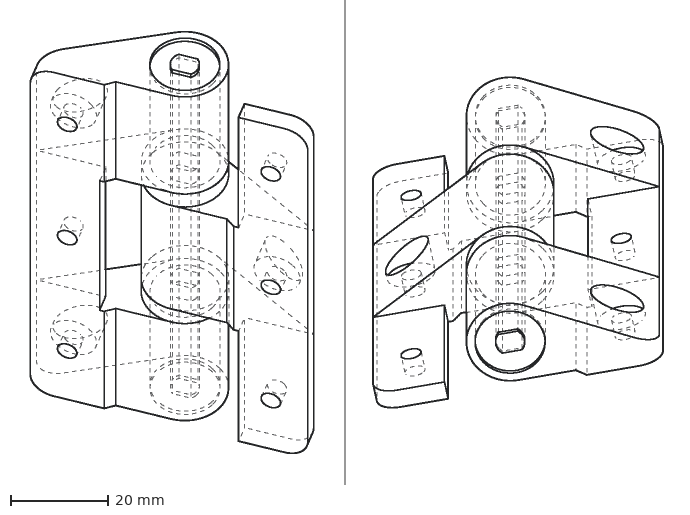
import cadquery as cq
import math

LENGTH = 100.0
WIDTH = 60.0
HALF_LENGTH = LENGTH / 2
HALF_WIDTH = WIDTH / 2

KNUCKLE_RADIUS = 9.0
RELIEF_DEPTH = 1.5
RELIEF_EDGE = 14.0
RELIEF_FLOOR = 12.0
MOUNT_Y = -(KNUCKLE_RADIUS + RELIEF_DEPTH)
CENTRE_KNUCKLE = 32.0
SPACER_THICKNESS = 4.0
KNUCKLE_GAP = CENTRE_KNUCKLE + 2 * SPACER_THICKNESS
END_KNUCKLE = (LENGTH - KNUCKLE_GAP) / 2

PLATE_THICKNESS = 4.0
PLATE_TOP_Y = MOUNT_Y + PLATE_THICKNESS
PLATE_WIDTH = 15.0
CORNER_RADIUS = 5.0

HOLE_DIAMETER = 4.2
HEAD_DIAMETER = 10.0
HOLE_X = 22.0
HOLE_PITCH = 35.0

BUSH_DIAMETER = 14.4
BUSH_RECESS = 1.0
BUSH_LENGTH = END_KNUCKLE - BUSH_RECESS
PIN_DIAMETER = 6.0
PIN_ACROSS_FLATS = 4.4


def level(z):
    """Horizontal workplane at height z, centred on the pivot axis."""
    return cq.Workplane("XY", origin=(0, 0, z))


def flatted_bar(z, length):
    """Round bar with two parallel flats, as used for the pin and for its holes."""
    bar = level(z).circle(PIN_DIAMETER / 2).extrude(length)
    flats = level(z).rect(PIN_DIAMETER, PIN_ACROSS_FLATS).extrude(length)
    return bar.intersect(flats)


def make_knuckle(z, length):
    """Left-hand knuckle: a web sloping up from the plate edge, tangent to the barrel."""
    edge_height = -PLATE_TOP_Y
    edge_distance = math.hypot(HALF_WIDTH, edge_height)
    slope = math.atan2(edge_height, HALF_WIDTH) + math.asin(KNUCKLE_RADIUS / edge_distance)
    tangent_point = (-KNUCKLE_RADIUS * math.sin(slope), KNUCKLE_RADIUS * math.cos(slope))
    return (
        level(z)
        .moveTo(-HALF_WIDTH, MOUNT_Y)
        .lineTo(-RELIEF_EDGE, MOUNT_Y)
        .lineTo(-RELIEF_FLOOR, -KNUCKLE_RADIUS)
        .lineTo(0, -KNUCKLE_RADIUS)
        .threePointArc((KNUCKLE_RADIUS, 0), tangent_point)
        .lineTo(-HALF_WIDTH, PLATE_TOP_Y)
        .close()
        .extrude(length)
    )


def hole_cutters(diameter, start_y, end_y):
    """Three cylinders along Y, one at each left-hand mounting hole."""
    centres = [(-HOLE_X, z) for z in (-HOLE_PITCH, 0, HOLE_PITCH)]
    return (
        cq.Workplane("XZ", origin=(0, start_y, 0))
        .pushPoints(centres)
        .circle(diameter / 2)
        .extrude(start_y - end_y)
    )


def make_leaf(knuckle_spans):
    """Left-hand leaf with a knuckle on each (start, length) span, without pivot bores."""
    leaf = cq.Workplane("XY", origin=(-HALF_WIDTH, MOUNT_Y, -HALF_LENGTH)).box(
        PLATE_WIDTH, PLATE_THICKNESS, LENGTH, centered=False
    )
    for z, length in knuckle_spans:
        leaf = leaf.union(make_knuckle(z, length))

    outline = (
        cq.Workplane("XZ", origin=(0, KNUCKLE_RADIUS, 0))
        .rect(WIDTH, LENGTH)
        .extrude(KNUCKLE_RADIUS - MOUNT_Y)
        .edges("|Y")
        .fillet(CORNER_RADIUS)
    )
    leaf = leaf.intersect(outline)

    leaf = leaf.cut(hole_cutters(HOLE_DIAMETER, PLATE_TOP_Y, MOUNT_Y))
    return leaf.cut(hole_cutters(HEAD_DIAMETER, KNUCKLE_RADIUS, PLATE_TOP_Y))


def make_left_leaf():
    """Leaf with two end knuckles, bored through for the bushes."""
    leaf = make_leaf([(-HALF_LENGTH, END_KNUCKLE), (KNUCKLE_GAP / 2, END_KNUCKLE)])
    bore = level(-HALF_LENGTH).circle(BUSH_DIAMETER / 2).extrude(LENGTH)
    return leaf.cut(bore)


def make_right_leaf():
    """Mirrored leaf with one centre knuckle, keyed to the pin."""
    leaf = make_leaf([(-CENTRE_KNUCKLE / 2, CENTRE_KNUCKLE)]).mirror("YZ")
    return leaf.cut(flatted_bar(-HALF_LENGTH, LENGTH))


def make_ring(diameter, z, length):
    """Disc around the pin with a matching flatted hole."""
    return level(z).circle(diameter / 2).extrude(length).cut(flatted_bar(z, length))


left_leaf = make_left_leaf()
right_leaf = make_right_leaf()
pin = flatted_bar(-HALF_LENGTH, LENGTH)

spacers = []
for start in (-KNUCKLE_GAP / 2, CENTRE_KNUCKLE / 2):
    spacers.append(make_ring(2 * KNUCKLE_RADIUS, start, SPACER_THICKNESS).val())

bushes = []
for start in (-HALF_LENGTH + BUSH_RECESS, KNUCKLE_GAP / 2):
    bushes.append(make_ring(BUSH_DIAMETER, start, BUSH_LENGTH).val())

result = cq.Compound.makeCompound([left_leaf.val(), right_leaf.val(), pin.val(), *spacers, *bushes])